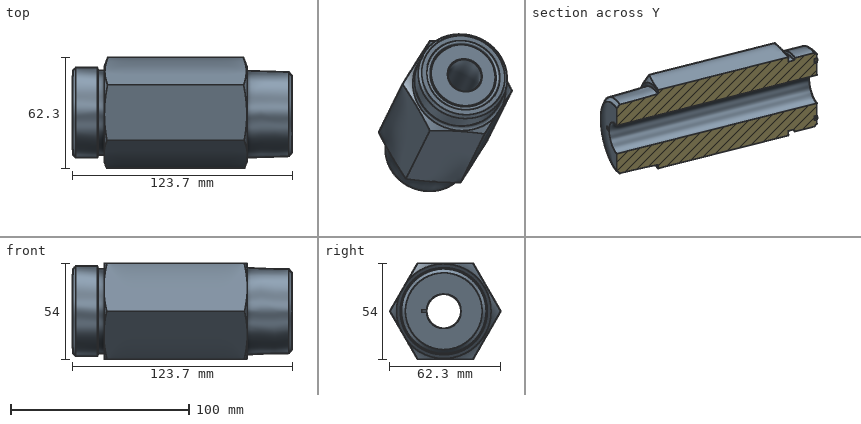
import cadquery as cq
import math

collar_end = 13.6
neck_start = 14.2
hex_start = 17.5
hex_length = 80.2
hex_end = hex_start + hex_length
overall_length = 123.65
ring_protrusion = 0.45
ridge_protrusion = 0.2
body_length = overall_length - ring_protrusion - ridge_protrusion

ring_section_diameter = 2.09
ring_center_diameter = 39.8

offset_axis_y = -0.85

across_flats = 53.98
across_corners = across_flats / math.cos(math.pi / 6)
hex_chamfer_diameter = 53.1
hex_chamfer_slope = 2.65
hex_chamfer_depth = 2.2

collar_diameter = 50.8
collar_chamfer = 1.7
neck_diameter = 47.75

taper_root_diameter = 48.95
taper_ratio = 1 / 16
end_chamfer_length = 1.9
end_chamfer_height = 2.2
taper_tip_station = body_length - end_chamfer_length
taper_tip_diameter = taper_root_diameter - taper_ratio * (taper_tip_station - hex_end)

bore_diameter = 19.05
bore_chamfer = 0.35

groove_outer_diameter = 41.15
groove_inner_diameter = 36.58
groove_depth = ring_section_diameter - ring_protrusion

ridge_height = 1.4
ridge_length = 2.8
ridge_center_y = -11.8


def revolve_about_x(points, axis_y=0):
    """Revolve a closed outline of (x, radius) points about an axis parallel to X."""
    outline = cq.Workplane("XY", origin=(0, axis_y, 0)).polyline(points).close()
    return outline.revolve(360, (0, 0, 0), (1, 0, 0))


def make_collar():
    """Chamfered collar and the narrower neck that joins it to the hexagon."""
    return revolve_about_x([
        (0, 0),
        (0, collar_diameter / 2 - collar_chamfer),
        (collar_chamfer, collar_diameter / 2),
        (collar_end, collar_diameter / 2),
        (neck_start, neck_diameter / 2),
        (hex_start, neck_diameter / 2),
        (hex_start, 0),
    ])


def make_tapered_end():
    """Tapered spigot on the offset axis, with a chamfered tip."""
    outline = [
        (hex_end, 0),
        (hex_end, taper_root_diameter / 2),
        (taper_tip_station, taper_tip_diameter / 2),
        (body_length, taper_tip_diameter / 2 - end_chamfer_height),
        (body_length, 0),
    ]
    return revolve_about_x(outline, offset_axis_y)


def make_hexagon():
    """Hexagonal prism with flats facing +Z and -Z and both ends chamfered."""
    prism = (
        cq.Workplane("YZ", origin=(hex_start, 0, 0))
        .polygon(6, across_corners)
        .extrude(hex_length)
    )
    envelope_radius = hex_chamfer_diameter / 2 + hex_chamfer_depth * hex_chamfer_slope
    chamfer_envelope = [
        (hex_start, 0),
        (hex_start, hex_chamfer_diameter / 2),
        (hex_start + hex_chamfer_depth, envelope_radius),
        (hex_end - hex_chamfer_depth, envelope_radius),
        (hex_end, hex_chamfer_diameter / 2),
        (hex_end, 0),
    ]
    return prism.intersect(revolve_about_x(chamfer_envelope, offset_axis_y))


def make_bore():
    """Cutter for the through bore on the offset axis, with a chamfered mouth at the collar face."""
    outline = [
        (0, 0),
        (0, bore_diameter / 2 + bore_chamfer),
        (bore_chamfer, bore_diameter / 2),
        (body_length, bore_diameter / 2),
        (body_length, 0),
    ]
    return revolve_about_x(outline, offset_axis_y)


def make_face_groove():
    """Cutter for the seal groove in the collar face."""
    return (
        cq.Workplane("YZ")
        .circle(groove_outer_diameter / 2)
        .circle(groove_inner_diameter / 2)
        .extrude(groove_depth)
    )


def make_end_ridge():
    """Low flat ridge beside the bore on the tapered end's face."""
    return (
        cq.Workplane("YZ", origin=(body_length, ridge_center_y, 0))
        .rect(ridge_length, ridge_height)
        .extrude(ridge_protrusion)
    )


def make_seal_ring():
    """Round-section ring resting on the groove floor and standing out of the collar face."""
    section_radius = ring_section_diameter / 2
    ring_radius = ring_center_diameter / 2
    return (
        cq.Workplane("XY")
        .center(groove_depth - section_radius, ring_radius)
        .circle(section_radius)
        .revolve(360, (0, -ring_radius, 0), (1, -ring_radius, 0))
    )


def make_housing(ring):
    """One solid, bored and grooved, with a rounded seat for the ring in the groove's outer wall."""
    blank = make_collar().union(make_hexagon()).union(make_tapered_end()).union(make_end_ridge())
    return blank.cut(make_bore()).cut(make_face_groove()).cut(ring)


seal_ring = make_seal_ring()
housing = make_housing(seal_ring)

result = cq.Compound.makeCompound([housing.solids().val(), seal_ring.val()])